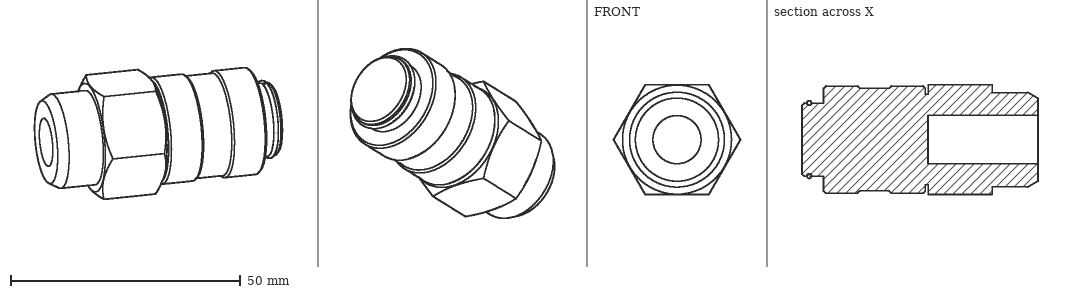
import cadquery as cq
import math

length = 51.5
front_end = -length / 2
back_end = length / 2

spigot_radius = 10.35
spigot_length = 10.0
spigot_cone_length = 2.2
spigot_tip_radius = spigot_radius - spigot_cone_length * math.tan(math.radians(30))
bore_radius = 5.25

hex_across_flats = 24.0
hex_corner_diameter = hex_across_flats / math.cos(math.radians(30))
hex_length = 14.0
hex_face_radius = 11.9
hex_chamfer_slope = math.tan(math.radians(30))
hex_front = front_end + spigot_length
hex_back = hex_front + hex_length

bore_depth = spigot_length + hex_length

neck_radius = 9.95
neck_length = 0.55
grip_radius = 11.75
grip_chamfer = 0.49
collar_length = 7.95
waist_radius = grip_radius - grip_chamfer
waist_length = 6.4
front_collar_start = hex_back + neck_length
waist_start = front_collar_start + collar_length
back_collar_start = waist_start + waist_length
grip_end = back_collar_start + collar_length

stem_radius = 8.05
stem_chamfer = 0.5
ring_wire_radius = 0.5
ring_setback = 1.6
ring_gap = 0.45
ring_y = back_end - ring_setback


def cylinder(radius, start, end):
    """Solid cylinder along Y from start to end."""
    return cq.Workplane("XZ", origin=(0, start, 0)).circle(radius).extrude(start - end)


def make_torus():
    """Round-wire hoop centred on the surface of the stem."""
    wire = cq.Workplane("XY").center(stem_radius, ring_y).circle(ring_wire_radius)
    return wire.revolve(360, (-stem_radius, 0, 0), (-stem_radius, 1, 0))


def make_hexagon():
    """Hexagonal prism whose corners are trimmed by a cone at each end."""
    prism = (
        cq.Workplane("XZ", origin=(0, hex_front, 0))
        .polygon(6, hex_corner_diameter)
        .extrude(-hex_length)
    )
    trim_radius = hex_corner_diameter / 2 + 0.5
    trim_depth = (trim_radius - hex_face_radius) * hex_chamfer_slope
    envelope = (
        cq.Workplane("XY")
        .moveTo(0, hex_front)
        .lineTo(hex_face_radius, hex_front)
        .lineTo(trim_radius, hex_front + trim_depth)
        .lineTo(trim_radius, hex_back - trim_depth)
        .lineTo(hex_face_radius, hex_back)
        .lineTo(0, hex_back)
        .close()
        .revolve(360, (0, 0, 0), (0, 1, 0))
    )
    return prism.intersect(envelope)


def make_spigot():
    """Front spigot with a tapered tip."""
    return (
        cq.Workplane("XY")
        .moveTo(0, front_end)
        .lineTo(spigot_tip_radius, front_end)
        .lineTo(spigot_radius, front_end + spigot_cone_length)
        .lineTo(spigot_radius, hex_front)
        .lineTo(0, hex_front)
        .close()
        .revolve(360, (0, 0, 0), (0, 1, 0))
    )


def make_housing():
    """Coupling body with its bore and snap-ring groove."""
    housing = make_spigot().union(make_hexagon())
    housing = housing.union(cylinder(neck_radius, hex_back, front_collar_start))
    for start in (front_collar_start, back_collar_start):
        collar = cylinder(grip_radius, start, start + collar_length)
        housing = housing.union(collar.edges("%CIRCLE").chamfer(grip_chamfer))
    housing = housing.union(cylinder(waist_radius, waist_start, back_collar_start))
    stem = cylinder(stem_radius, grip_end, back_end).faces(">Y").edges().chamfer(stem_chamfer)
    housing = housing.union(stem)
    housing = housing.cut(cylinder(bore_radius, front_end, front_end + bore_depth))
    return housing.cut(make_torus())


def make_snap_ring():
    """Round-wire ring in the stem groove, split at the top."""
    gap_height = stem_radius + 2 * ring_wire_radius
    gap = (
        cq.Workplane("XY", origin=(0, ring_y, 0))
        .rect(ring_gap, 4 * ring_wire_radius)
        .extrude(gap_height)
    )
    return make_torus().cut(gap)


housing = make_housing()
snap_ring = make_snap_ring()

result = cq.Compound.makeCompound([housing.val(), snap_ring.val()])